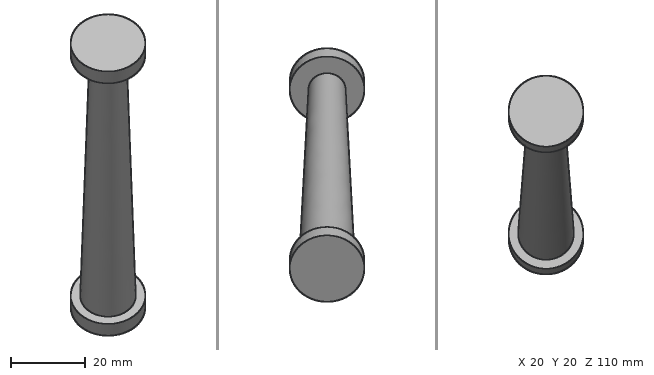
import cadquery as cq

total_height = 110.0
flange_diameter = 20.0
flange_thickness = 5.0

shaft_bottom_diameter = 15.0
shaft_top_diameter = flange_diameter / 2

flange_radius = flange_diameter / 2
shaft_bottom_radius = shaft_bottom_diameter / 2
shaft_top_radius = shaft_top_diameter / 2
upper_flange_base = total_height - flange_thickness

result = (
    cq.Workplane("XZ")
    .moveTo(0, 0)
    .lineTo(flange_radius, 0)
    .lineTo(flange_radius, flange_thickness)
    .lineTo(shaft_bottom_radius, flange_thickness)
    .lineTo(shaft_top_radius, upper_flange_base)
    .lineTo(flange_radius, upper_flange_base)
    .lineTo(flange_radius, total_height)
    .lineTo(0, total_height)
    .close()
    .revolve(360, (0, 0, 0), (0, 1, 0))
)